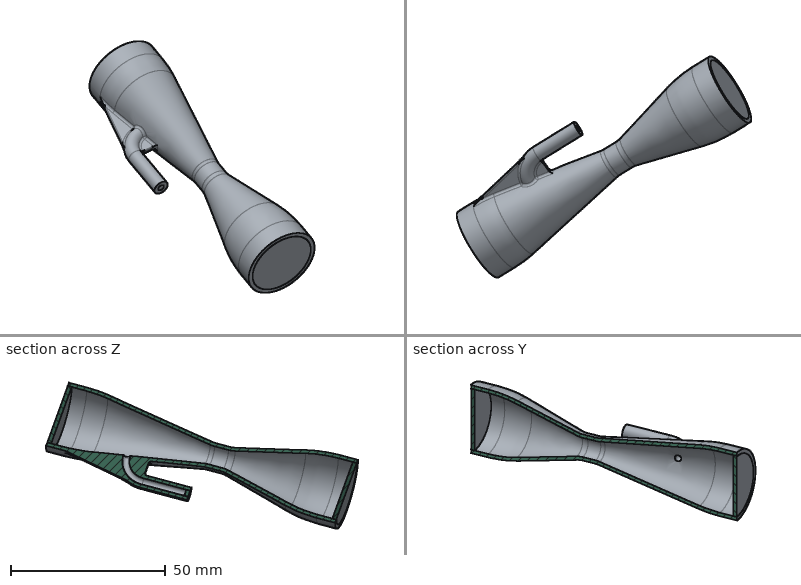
import cadquery as cq
import math

length = 97.8
end_radius = 12.5
throat_radius = 4.9
end_straight = 6.4
throat_start = 52.0
throat_end = 56.7
end_blend = 42.0
throat_blend = 6.8
wall = 1.5
plug_thickness = wall

pipe_radius = 2.5
bore_radius = pipe_radius - wall
pipe_axis_y = -15.9
bend_radius = 7.5
bend_end_x = 33.6
pipe_end_x = 49.6
pipe_root_x = bend_end_x - bend_radius
bend_center_y = pipe_axis_y + bend_radius
pipe_root_y = -6.8

web_thickness = 1.5
joint_fillet = 0.9
edge_round = 0.3
free_edge_start = (4.9, -12.1)
web_tip_x = 28.6
outer_round_start_x = 10.1
outer_round_end_x = 27.2
inner_round_start_y = -12.3
inner_round_end_y = -9.2


def cone_angle(run):
    """Slope of the cone that is tangent to both blend arcs over an axial run."""
    arcs = end_blend + throat_blend
    rise = arcs - (end_radius - throat_radius)
    return math.asin(arcs / math.hypot(run, rise)) - math.atan2(rise, run)


def flare_points(run, inset):
    """Points along a flare as (axial distance from its end cylinder, radius)."""
    angle = cone_angle(run)
    big = end_blend - inset
    small = throat_blend + inset
    outer = end_radius - inset
    inner = throat_radius - inset

    def big_arc(turn):
        return big * math.sin(turn), outer - big * (1 - math.cos(turn))

    def small_arc(turn):
        return run - small * math.sin(turn), inner + small * (1 - math.cos(turn))

    return [
        (0, outer),
        big_arc(angle / 2),
        big_arc(angle),
        small_arc(angle),
        small_arc(angle / 2),
        (run, inner),
    ]


def venturi_solid(inset):
    """Solid of revolution of the venturi, with its surface moved inward by inset."""
    inlet = [(end_straight + x, r) for x, r in flare_points(throat_start - end_straight, inset)]
    outlet_start = length - end_straight
    outlet = [(outlet_start - x, r) for x, r in flare_points(outlet_start - throat_end, inset)][::-1]
    profile = cq.Workplane("XZ").moveTo(0, 0).lineTo(0, end_radius - inset)
    for flare in (inlet, outlet):
        profile = (
            profile.lineTo(*flare[0])
            .threePointArc(flare[1], flare[2])
            .lineTo(*flare[3])
            .threePointArc(flare[4], flare[5])
        )
    profile = profile.lineTo(length, end_radius - inset).lineTo(length, 0).close()
    return profile.revolve(360, (0, 0, 0), (1, 0, 0))


def bend_point(radius, turn):
    """Point on an arc about the bend center, turned from the -X direction toward -Y."""
    return bend_end_x - radius * math.cos(turn), bend_center_y - radius * math.sin(turn)


def pipe_solid(radius):
    path = (
        cq.Workplane("XY")
        .moveTo(pipe_root_x, pipe_root_y)
        .lineTo(pipe_root_x, bend_center_y)
        .threePointArc(bend_point(bend_radius, math.pi / 4), (bend_end_x, pipe_axis_y))
        .lineTo(pipe_end_x, pipe_axis_y)
    )
    root_plane = cq.Plane(origin=(pipe_root_x, pipe_root_y, 0), xDir=(0, 0, 1), normal=(0, -1, 0))
    return cq.Workplane(root_plane).circle(radius).sweep(path)


def braced_web(outline):
    """Plate web, symmetric about the Z = 0 plane, from its closed outline."""
    return outline.close().extrude(web_thickness / 2, both=True)


def free_edge_point(x):
    """Point at x on the straight free edge line of the outer web."""
    outside = bend_radius + pipe_radius
    tip_x, tip_y = bend_point(outside, math.acos((bend_end_x - web_tip_x) / outside))
    start_x, start_y = free_edge_start
    return x, start_y + (x - start_x) * (tip_y - start_y) / (tip_x - start_x)


def outer_web_blank():
    """Oversize web outside the bend, reaching past its free edge so that its joints can be filleted."""
    blank_start_x = end_straight / 2
    blank_edge_y = pipe_axis_y - bore_radius - edge_round
    return braced_web(
        cq.Workplane("XY")
        .moveTo(blank_start_x, pipe_root_y)
        .lineTo(blank_start_x, blank_edge_y)
        .lineTo(bend_end_x - pipe_radius, blank_edge_y)
        .lineTo(bend_end_x, pipe_axis_y)
        .lineTo(pipe_root_x, pipe_root_y)
    )


def free_edge_waste():
    """Everything on the far side of the outer web's free edge."""
    far_y = pipe_axis_y - 2 * pipe_radius
    return (
        cq.Workplane("XY")
        .moveTo(*free_edge_point(0))
        .lineTo(*free_edge_point(bend_end_x))
        .lineTo(bend_end_x, far_y)
        .lineTo(0, far_y)
        .close()
        .extrude(web_thickness + joint_fillet, both=True)
    )


def corner_slivers(start, end, back_end, back_start, free_side):
    """Slivers to take off a web to round the two corners of its free edge from start to end."""
    strip = braced_web(cq.Workplane("XY").polyline([start, end, back_end, back_start]))
    return strip.cut(strip.faces(free_side).edges("not |Z").fillet(edge_round))


def outer_web_slivers():
    return corner_slivers(
        free_edge_point(outer_round_start_x),
        free_edge_point(outer_round_end_x),
        (outer_round_end_x, 0),
        (outer_round_start_x, 0),
        "<Y",
    )


def inner_web_slivers():
    return corner_slivers(
        (bend_end_x, inner_round_start_y),
        (bend_end_x, inner_round_end_y),
        (pipe_root_x, inner_round_end_y),
        (pipe_root_x, inner_round_start_y),
        ">X",
    )


def inner_web():
    """Web that fills the inside of the bend up to the bend end."""
    return braced_web(
        cq.Workplane("XY")
        .moveTo(pipe_root_x, pipe_root_y)
        .lineTo(pipe_root_x, bend_center_y)
        .threePointArc(bend_point(bend_radius, math.pi / 4), (bend_end_x, pipe_axis_y))
        .lineTo(bend_end_x, pipe_root_y)
    )


def joint_edges(body):
    """Edges along which the webs, the side pipe and the tube meet."""
    pipe_side = pipe_axis_y + joint_fillet
    tube_side = bend_center_y + edge_round
    split_x = pipe_root_x + joint_fillet
    around_outer_web = cq.selectors.BoxSelector(
        (end_straight / 2 + edge_round, pipe_side, -pipe_radius),
        (split_x, tube_side, pipe_radius),
    )
    around_inner_web = cq.selectors.BoxSelector(
        (split_x, pipe_side, -web_thickness),
        (bend_end_x + edge_round, tube_side, web_thickness),
    )
    return body.edges(around_outer_web + around_inner_web).edges("not |Y")


def housing_body():
    """Hollow venturi tube with its braced side pipe."""
    tube_and_pipe = venturi_solid(0).union(pipe_solid(pipe_radius))
    braced = tube_and_pipe.union(outer_web_blank()).union(inner_web())
    filleted = joint_edges(braced).fillet(joint_fillet)
    trimmed = filleted.cut(free_edge_waste().cut(tube_and_pipe))
    outside = trimmed.cut(outer_web_slivers()).cut(inner_web_slivers())
    return outside.cut(venturi_solid(wall)).cut(pipe_solid(bore_radius))


def plug(x, y, radius):
    """Disc that fills an opening, starting at x and running along +X."""
    return cq.Workplane("YZ", origin=(x, y, 0)).circle(radius).extrude(plug_thickness)


housing = housing_body()
openings = [
    (0, 0, end_radius - wall),
    (length - plug_thickness, 0, end_radius - wall),
    (pipe_end_x - plug_thickness, pipe_axis_y, bore_radius),
]
plugs = [plug(*opening) for opening in openings]

result = cq.Compound.makeCompound([housing.val(), *[disc.val() for disc in plugs]])